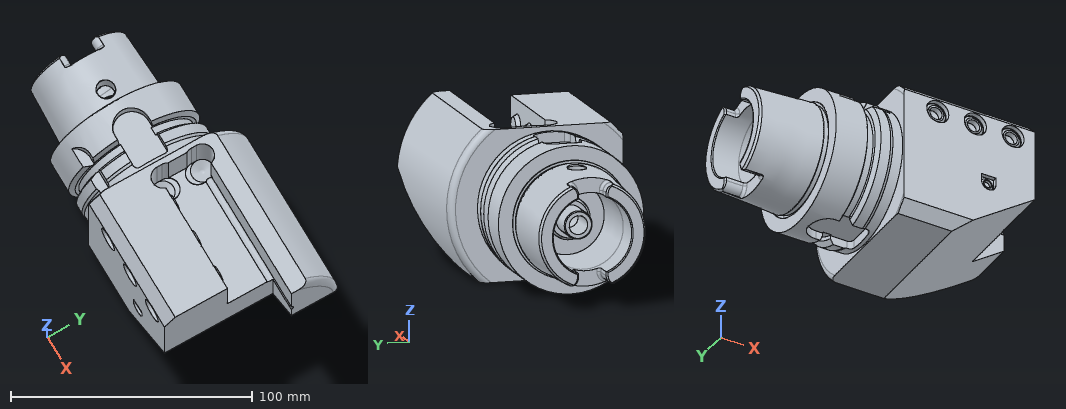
import cadquery as cq
import math


taper_end_radius = 23.0
taper_rise = 1 / 20
undercut_start = 30.0
undercut_radius = 24.0
face_recess_radius = 25.3
face_recess_depth = 0.5
end_chamfer_length = 1.0
end_chamfer_height = 0.9
bore_diameter = 34.0
bore_chamfer = 0.5
bore_cone_start = 12.8
bore_floor_diameter = 31.7
bore_floor = 36.9

hub_diameter = 18.0
hub_height = 3.4
hub_chamfer = 1.0
tube_diameter = 12.0
tube_height = 12.5
tube_chamfer = 0.4
coolant_diameter = 8.0
coolant_depth = 14.2

drive_half_width = 6.0
drive_inner_height = 14.2
drive_flare_start = 17.6
drive_flare_radius = 3.4
drive_outer_height = 25.5
drive_corner_radius = 1.3
drive_end_chamfer = 0.7
upper_drive_depth = 6.2
lower_drive_depth = 9.8

wrench_x = 23.1
wrench_diameter = 8.0
wrench_rim_diameter = 8.7

flange_start = 31.7
flange_radius = 31.5
neck_radius = 31.1
groove_radius = 27.4
groove_flank_radius = 29.1
groove_outer_start = 46.7
groove_start = 48.0
groove_end = 51.7
groove_outer_end = 53.1
neck_cone_start = 57.8
neck_cone_end = 59.1

keyway_width = 16.0
keyway_start = 36.8
keyway_end = 61.8
keyway_corner_radius = 2.1
keyway_floor = 26.4
notch_wall_y = -19.9
notch_floor = 19.7

body_start = 63.8
block_end = 126.7
rail_end = 142
body_top = 33.1
body_bottom = -32.0
body_front_y = -32.0
body_radius = 43.6
rim_fillet = 3.0
front_chamfer = 5.1
slope_bottom_x = 89.7
slope_end_z = 4.5

channel_wall_y = -1.7
rail_y = 20.0
channel_floor = 13.3
channel_start = 66.7
relief_diameter = 4.0
corner_hole_diameter = 10
corner_hole_x = 71
corner_hole_offset = 1.4
corner_slot_length = 2.4
corner_slot_sink = 0.4
drill_point_angle = 118

screw_first_x = 80.1
screw_pitch = 18.0
screw_count = 3
screw_z = 22.2
screw_hole_diameter = 10.5
screw_diameter = 10
screw_end_diameter = 7.5
screw_head_chamfer = 0.7
screw_tip_chamfer = 2.1
screw_recess = 1.5
screw_projection = 1.8
socket_diameter = 5.8
socket_depth = 2.8

plug_x = 104.5
plug_z = -5.4
pocket_width = 6.8
pocket_top = 3.5
pocket_depth = 2.0
plug_diameter = 6.0
plug_end_diameter = 4.0
plug_height = 1.0
plug_socket_diameter = 3.4
plug_socket_depth = 1.4

big = 3 * body_radius
overlap = 1.4


def box(x0, x1, y0, y1, z0, z1):
    """Box between two opposite corners."""
    return cq.Workplane("XY").box(x1 - x0, y1 - y0, z1 - z0, centered=False).translate((x0, y0, z0))


def turned(outline):
    """Solid turned about the X axis from (x, radius) points; the ends close on the axis."""
    points = [(outline[0][0], 0)] + outline + [(outline[-1][0], 0)]
    return cq.Workplane("XY").polyline(points).close().revolve(360, (0, 0, 0), (1, 0, 0))


def point_length(diameter):
    """Length of the conical tip left by a drill."""
    return diameter / 2 / math.tan(math.radians(drill_point_angle / 2))


def drilled(diameter, depth):
    """Blind hole tool starting at the origin, running along +X and ending in a drill point."""
    radius = diameter / 2
    tip_x = depth + point_length(diameter)
    outline = cq.Workplane("XY").polyline([(0, 0), (0, radius), (depth, radius), (tip_x, 0)]).close()
    return outline.revolve(360, (0, 0, 0), (1, 0, 0))


def make_shank_and_flange():
    """Solid taper, undercut, grooved flange and neck."""
    undercut_taper_radius = taper_end_radius + taper_rise * undercut_start
    return turned([
        (0, taper_end_radius - end_chamfer_height),
        (end_chamfer_length, taper_end_radius + taper_rise * end_chamfer_length),
        (undercut_start, undercut_taper_radius),
        (undercut_start, undercut_radius),
        (flange_start + face_recess_depth, undercut_radius),
        (flange_start + face_recess_depth, face_recess_radius),
        (flange_start, face_recess_radius),
        (flange_start, flange_radius),
        (groove_outer_start, flange_radius),
        (groove_start, groove_flank_radius),
        (groove_start, groove_radius),
        (groove_end, groove_radius),
        (groove_end, groove_flank_radius),
        (groove_outer_end, flange_radius),
        (neck_cone_start, flange_radius),
        (neck_cone_end, neck_radius),
        (body_start + overlap, neck_radius),
    ])


def make_bore():
    """Empty space inside the shank, with the stepped coolant hub left standing on its floor."""
    bore = turned([
        (0, bore_diameter / 2 + bore_chamfer),
        (bore_chamfer, bore_diameter / 2),
        (bore_cone_start, bore_diameter / 2),
        (bore_floor, bore_floor_diameter / 2),
    ])
    hub_top = bore_floor - hub_height
    tube_top = hub_top - tube_height
    hub = turned([
        (tube_top, tube_diameter / 2 - tube_chamfer),
        (tube_top + tube_chamfer, tube_diameter / 2),
        (hub_top, tube_diameter / 2),
        (hub_top, hub_diameter / 2 - hub_chamfer),
        (hub_top + hub_chamfer, hub_diameter / 2),
        (bore_floor, hub_diameter / 2),
    ])
    return bore.cut(hub).union(drilled(coolant_diameter, coolant_depth).translate((tube_top, 0, 0)))


def draw_drive_profile(margin):
    """Drive slot section, widened by margin: straight walls that flare outwards in rounds."""
    half_width = drive_half_width + margin
    radius = drive_flare_radius
    inset = radius * (1 - math.sqrt(0.5))
    rise = radius * math.sqrt(0.5)
    flare_end_z = drive_flare_start + radius
    return (
        cq.Workplane("YZ")
        .moveTo(0, drive_inner_height)
        .lineTo(half_width, drive_inner_height)
        .lineTo(half_width, drive_flare_start)
        .threePointArc((half_width + inset, drive_flare_start + rise), (half_width + radius, flare_end_z))
        .lineTo(half_width + radius, drive_outer_height)
        .lineTo(0, drive_outer_height)
        .mirrorY()
    )


def make_drive_slot(depth):
    """Slot across the upper wall of the shank with rounded inner corners and a bevelled mouth."""
    slot = draw_drive_profile(0).extrude(depth)
    inner_corners = cq.selectors.BoxSelector(
        (depth - overlap, -drive_half_width - overlap, drive_inner_height),
        (depth + overlap, drive_half_width + overlap, drive_flare_start),
    )
    slot = slot.edges("|Z").edges(inner_corners).fillet(drive_corner_radius)
    mouth = draw_drive_profile(drive_end_chamfer).extrude(drive_end_chamfer, taper=45)
    return slot.union(mouth)


def make_wrench_hole():
    """Radial hole into the bore, with a bevelled rim on the taper."""
    radius = wrench_diameter / 2
    rim_radius = wrench_rim_diameter / 2
    rim_height = taper_end_radius + taper_rise * wrench_x
    tool = turned([
        (drive_inner_height, radius),
        (rim_height - rim_radius + radius, radius),
        (rim_height, rim_radius),
        (rim_height + overlap, rim_radius + overlap),
    ])
    return tool.rotate((0, 0, 0), (0, 1, 0), -90).translate((wrench_x, 0, 0))


def make_keyway(edge_y, floor_z):
    """Milled slot along X above floor_z: full round at one end, small corners at the other."""
    radius = keyway_width / 2
    slot = box(keyway_start + radius, keyway_end, edge_y - keyway_width, edge_y, floor_z, big)
    slot = slot.edges("|Z and >X").fillet(keyway_corner_radius)
    round_end = (
        cq.Workplane("XY", origin=(keyway_start + radius, edge_y - radius, floor_z))
        .circle(radius)
        .extrude(big - floor_z)
    )
    return slot.union(round_end)


def make_body():
    """Round block with rounded rims, flattened on three sides and bevelled below."""
    blank = (
        cq.Workplane("YZ", origin=(body_start, 0, 0))
        .circle(body_radius)
        .extrude(rail_end - body_start)
        .edges()
        .fillet(rim_fillet)
    )
    section = (
        cq.Workplane("YZ", origin=(body_start, 0, 0))
        .moveTo(body_radius, body_bottom)
        .lineTo(body_radius, body_top)
        .lineTo(body_front_y + front_chamfer, body_top)
        .lineTo(body_front_y, body_top - front_chamfer)
        .lineTo(body_front_y, body_bottom + front_chamfer)
        .lineTo(body_front_y + front_chamfer, body_bottom)
        .close()
        .extrude(rail_end - body_start)
    )
    below_slope = (
        cq.Workplane("XZ")
        .moveTo(slope_bottom_x, body_bottom)
        .lineTo(rail_end, slope_end_z)
        .lineTo(rail_end, body_bottom)
        .close()
        .extrude(big, both=True)
    )
    beside_rail = box(block_end, big + rail_end, -big, rail_y, -big, big)
    return blank.intersect(section).cut(below_slope).cut(beside_rail)


def make_corner_pocket(outer_y, direction):
    """Drilled corner of the channel, widened towards the channel's middle."""
    radius = corner_hole_diameter / 2
    inner_y = outer_y + direction * corner_slot_length
    bottom = channel_floor - corner_slot_sink
    low_y, high_y = sorted((outer_y, inner_y))
    pocket = box(corner_hole_x - radius, corner_hole_x + radius, low_y, high_y, bottom, big)
    for y in (outer_y, inner_y):
        pocket = pocket.union(
            cq.Workplane("XY", origin=(corner_hole_x, y, bottom)).circle(radius).extrude(big - bottom)
        )
    tip = cq.Solid.makeCone(
        radius, 0, point_length(corner_hole_diameter),
        cq.Vector(corner_hole_x, outer_y, bottom), cq.Vector(0, 0, -1),
    )
    return pocket.union(cq.Workplane(tip))


def make_channel():
    """Open tool channel with a round relief below the rail and drilled end corners."""
    channel = box(channel_start, big + rail_end, channel_wall_y, rail_y, channel_floor, big)
    relief_inset = relief_diameter / 4
    relief = (
        cq.Workplane("YZ", origin=(corner_hole_x, rail_y - relief_inset, channel_floor + relief_inset))
        .circle(relief_diameter / 2)
        .extrude(rail_end)
    )
    channel = channel.union(relief)
    channel = channel.union(make_corner_pocket(rail_y - corner_hole_offset, -1))
    return channel.union(make_corner_pocket(channel_wall_y + corner_hole_offset, 1))


def add_clamping_screws(part):
    """Row of recessed socket screws whose tips reach into the channel."""
    length = channel_wall_y + screw_projection - body_front_y - screw_recess
    screw = turned([
        (0, screw_end_diameter / 2),
        (screw_head_chamfer, screw_diameter / 2),
        (length - screw_tip_chamfer, screw_diameter / 2),
        (length, screw_end_diameter / 2),
    ]).rotate((0, 0, 0), (0, 0, 1), 90)
    socket = drilled(socket_diameter, socket_depth).rotate((0, 0, 0), (0, 0, 1), 90)
    hole = cq.Workplane("XZ").circle(screw_hole_diameter / 2).extrude(-screw_recess - screw_head_chamfer)
    for index in range(screw_count):
        x = screw_first_x + index * screw_pitch
        part = part.cut(hole.translate((x, body_front_y, screw_z)))
        head = (x, body_front_y + screw_recess, screw_z)
        part = part.union(screw.translate(head)).cut(socket.translate(head))
    return part


def add_plug(part):
    """Small socket screw standing in a shallow pocket of the front face."""
    radius = pocket_width / 2
    pocket = (
        cq.Workplane("XZ", origin=(plug_x, body_front_y, plug_z))
        .moveTo(-radius, pocket_top)
        .lineTo(-radius, 0)
        .threePointArc((0, -radius), (radius, 0))
        .lineTo(radius, pocket_top)
        .close()
        .extrude(-pocket_depth)
    )
    plug = turned([
        (0, plug_end_diameter / 2),
        (plug_height, plug_diameter / 2),
        (plug_height + overlap, plug_diameter / 2),
    ]).rotate((0, 0, 0), (0, 0, 1), 90)
    socket = drilled(plug_socket_diameter, plug_socket_depth).rotate((0, 0, 0), (0, 0, 1), 90)
    head = (plug_x, body_front_y + pocket_depth - plug_height, plug_z)
    return part.cut(pocket).union(plug.translate(head)).cut(socket.translate(head))


shank = make_shank_and_flange().cut(make_bore())
shank = shank.cut(make_drive_slot(upper_drive_depth))
shank = shank.cut(make_drive_slot(lower_drive_depth).mirror("XY"))
shank = shank.cut(make_wrench_hole())

keyway = make_keyway(keyway_width / 2, keyway_floor)
shank = shank.cut(keyway).cut(keyway.mirror("XY"))
shank = shank.cut(make_keyway(notch_wall_y, notch_floor))

result = make_body().cut(make_channel()).union(shank)
result = add_clamping_screws(result)
result = add_plug(result)